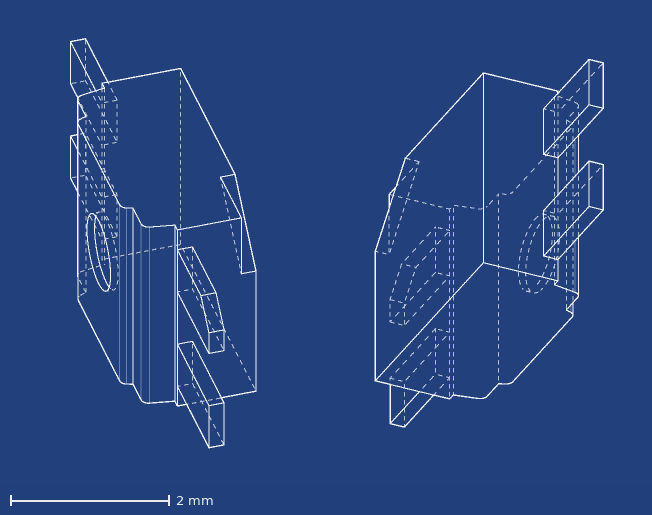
import cadquery as cq
import math

LENGTH = 5.88
DEPTH = 1.58
HEIGHT = 2.8

BODY_LENGTH = 3.2
LEDGE_Y = 0.54
SHOULDER_Y = 0.14
SHOULDER_BASE_HALF = 1.495
SHOULDER_ANGLE = 80.0
NOSE_BASE_HALF = 1.0
NOSE_ANGLE = 70.0
EDGE_RADIUS = 0.1

RECESS_DIAMETER = 1.0
RECESS_DEPTH = 0.1

CORNER_CUT_LENGTH = 0.89
CORNER_CUT_ANGLE = 45.0
CORNER_CUT_DEPTH = 0.195

LEAD_THICKNESS = 0.2
LEAD_WIDTH = 0.67
LEAD_PITCH = 1.5
LEAD_CHAMFER = 0.34

BODY_HALF = BODY_LENGTH / 2
LEAD_LENGTH = LENGTH / 2 - BODY_HALF


def make_housing():
    """Stepped, symmetric block with rounded front edges."""
    shoulder_run = (LEDGE_Y - SHOULDER_Y) / math.tan(math.radians(SHOULDER_ANGLE))
    nose_run = SHOULDER_Y / math.tan(math.radians(NOSE_ANGLE))
    shoulder_half = SHOULDER_BASE_HALF - shoulder_run
    nose_half = NOSE_BASE_HALF - nose_run
    right_side = [
        (nose_half, 0),
        (NOSE_BASE_HALF, SHOULDER_Y),
        (shoulder_half, SHOULDER_Y),
        (SHOULDER_BASE_HALF, LEDGE_Y),
        (BODY_HALF, LEDGE_Y),
        (BODY_HALF, DEPTH),
    ]
    left_side = [(-x, y) for x, y in reversed(right_side)]
    block = (
        cq.Workplane("XY")
        .workplane(offset=-HEIGHT / 2)
        .polyline(right_side + left_side)
        .close()
        .extrude(HEIGHT)
    )

    for corner_x, corner_y in [(nose_half, 0), (shoulder_half, SHOULDER_Y)]:
        for side in (-1, 1):
            edge_point = (side * corner_x, corner_y, 0)
            block = block.edges(cq.selectors.NearestToPointSelector(edge_point)).fillet(EDGE_RADIUS)

    return block.cut(make_recess()).cut(make_corner_cut())


def make_recess():
    """Round cutter sunk into the front face."""
    return (
        cq.Workplane("XZ")
        .circle(RECESS_DIAMETER / 2)
        .extrude(-RECESS_DEPTH)
    )


def make_corner_cut():
    """Triangular cutter that starts at the back face."""
    top = HEIGHT / 2
    cut_height = CORNER_CUT_LENGTH * math.tan(math.radians(CORNER_CUT_ANGLE))
    return (
        cq.Workplane("XZ", origin=(0, DEPTH, 0))
        .moveTo(BODY_HALF - CORNER_CUT_LENGTH, top)
        .lineTo(BODY_HALF, top)
        .lineTo(BODY_HALF, top - cut_height)
        .close()
        .extrude(CORNER_CUT_DEPTH)
    )


def make_lead(x_side, z_side):
    """Flat lead butted against one end of the housing, front flush with the ledge."""
    lead = cq.Workplane("XY").box(LEAD_LENGTH, LEAD_THICKNESS, LEAD_WIDTH)
    is_marked_lead = x_side > 0 and z_side > 0
    if is_marked_lead:
        lead = lead.edges(">X and >Z").chamfer(LEAD_CHAMFER)
    return lead.translate((
        x_side * (BODY_HALF + LEAD_LENGTH / 2),
        LEDGE_Y + LEAD_THICKNESS / 2,
        z_side * LEAD_PITCH / 2,
    ))


housing = make_housing()

leads = []
for x_side in (-1, 1):
    for z_side in (-1, 1):
        leads.append(make_lead(x_side, z_side).val())

result = cq.Compound.makeCompound([housing.val(), *leads])